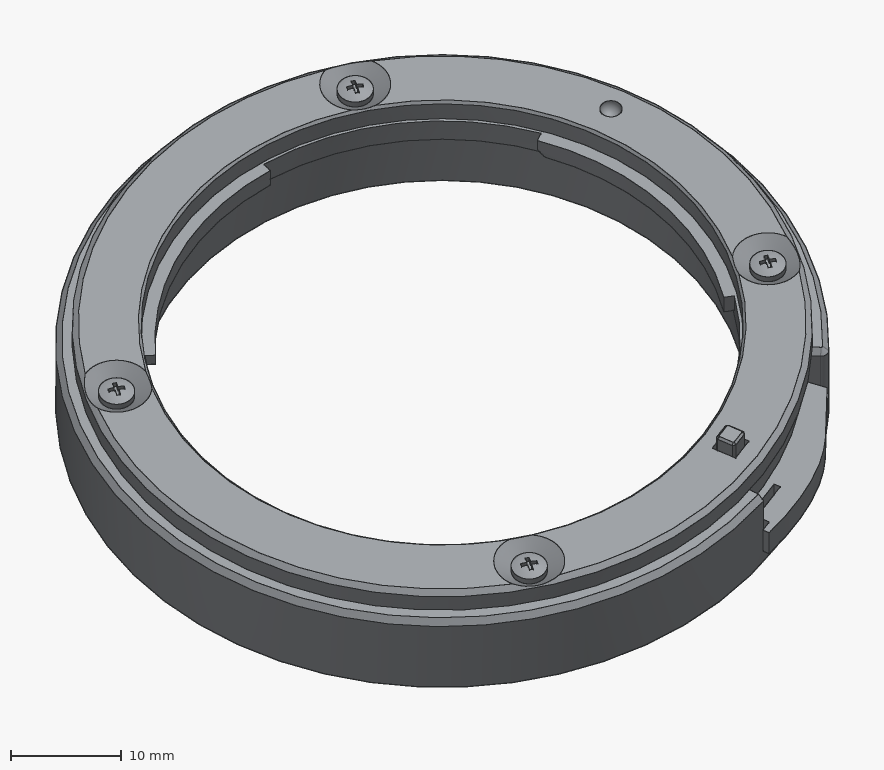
import cadquery as cq
import math

housing_diameter = 70.0
housing_height = 8.65
housing_chamfer = 0.6
housing_bore = 55.3
rim_end_radius = 0.7

flange_diameter = 67.0
flange_top = 10.85
flange_bore = 54.5
flange_bore_mouth = 55.0
flange_edge_height = 0.4
flange_edge_width = 0.6

bayonet_diameter = 57.1
bayonet_bore = 53.9
bayonet_height = 2.4
tab_tip_diameter = 52.0
tab_thickness = 1.9
tab_lead_in = 0.7
tab_spans = [(41.5, 100.7), (156.8, 214.4), (271.4, 332.6)]

pitch_radius = 30.5
screw_angles = [45, 135, 225, 315]
countersink_diameter = 6.4
countersink_depth = 1.3
screw_head_diameter = 3.3
screw_rim_drop = 0.65
screw_dome_rise = 0.35
screw_shank_diameter = 1.5
screw_shank_depth = 2.15
cross_length = 1.5
cross_width = 0.35
cross_depth = 0.6
cross_angle = 45

dimple_diameter = 2.0

pin_radius = 30.1
pin_width = 2.0
pin_hole_width = 2.4
pin_top = 12.3
pin_chamfer = 0.2

lever_bottom = 2.8
lever_top = 5.6
lever_reach = 36.4
lever_tail_y = -3.4
lever_tail_setback = 0.3
lever_tail_width = 0.65
window_inner_radius = 32.85
window_lower_y = -2.3
window_upper_angle = 27.4
lever_start_angle = 26.0
lever_start = (31.7, 14.7)
lever_hollow = (32.85, 12.6)
lever_flank = (35.3, 7.9)
lever_crest_y = 1.4
slot_start_y = 2.0
slot_width = 0.65
slot_depth = 1.4
slot_x = 33.85

housing_radius = housing_diameter / 2
bayonet_bottom = housing_height - bayonet_height
tab_root_diameter = (bayonet_diameter + bayonet_bore) / 2
tab_bottom = housing_height - tab_thickness
screw_rim_z = flange_top - screw_rim_drop
countersink_floor_z = flange_top - countersink_depth
screw_bottom_z = housing_height - screw_shank_depth
lever_thickness = lever_top - lever_bottom
window_lower_angle = math.degrees(math.asin(window_lower_y / housing_radius))


def ring(outer_diameter, inner_diameter, bottom, height):
    """Plain ring around the Z axis."""
    return (
        cq.Workplane("XY")
        .workplane(offset=bottom)
        .circle(outer_diameter / 2)
        .circle(inner_diameter / 2)
        .extrude(height)
    )


def cylinder(diameter, bottom, top):
    """Upright cylinder on the Z axis."""
    return cq.Workplane("XY").workplane(offset=bottom).circle(diameter / 2).extrude(top - bottom)


def polar(radius, angle):
    """Point at a radius and an angle in degrees."""
    return (radius * math.cos(math.radians(angle)), radius * math.sin(math.radians(angle)))


def square_post(width, top):
    """Square block at the lock pin, from the top of the housing up."""
    return (
        cq.Workplane("XY")
        .workplane(offset=housing_height)
        .center(pin_radius, 0)
        .rect(width, width)
        .extrude(top - housing_height)
    )


def at_screws(tool):
    """Copies of a shape made on the Z axis, one at each screw position."""
    return [tool.translate((*polar(pitch_radius, angle), 0)) for angle in screw_angles]


def sector(inner_radius, outer_radius, start, end, bottom, height):
    """Part of a ring between two angles."""
    middle = (start + end) / 2
    return (
        cq.Workplane("XY")
        .workplane(offset=bottom)
        .moveTo(*polar(inner_radius, start))
        .lineTo(*polar(outer_radius, start))
        .threePointArc(polar(outer_radius, middle), polar(outer_radius, end))
        .lineTo(*polar(inner_radius, end))
        .threePointArc(polar(inner_radius, middle), polar(inner_radius, start))
        .close()
        .extrude(height)
    )


def make_screw():
    """Domed cross-head screw on the Z axis."""
    head_radius = screw_head_diameter / 2
    shank_radius = screw_shank_diameter / 2
    dome_top_z = screw_rim_z + screw_dome_rise
    dome_radius = (head_radius**2 + screw_dome_rise**2) / (2 * screw_dome_rise)
    dome_middle_x = head_radius / 2
    dome_middle_z = dome_top_z - dome_radius + math.sqrt(dome_radius**2 - dome_middle_x**2)
    screw = (
        cq.Workplane("XZ")
        .moveTo(0, screw_bottom_z)
        .lineTo(shank_radius, screw_bottom_z)
        .lineTo(shank_radius, countersink_floor_z)
        .lineTo(head_radius, countersink_floor_z)
        .lineTo(head_radius, screw_rim_z)
        .threePointArc((dome_middle_x, dome_middle_z), (0, dome_top_z))
        .close()
        .revolve(360, (0, 0, 0), (0, 1, 0))
    )
    for length, width in ((cross_length, cross_width), (cross_width, cross_length)):
        arm = cq.Workplane("XY").workplane(offset=dome_top_z - cross_depth).rect(length, width)
        arm = arm.extrude(cross_depth).rotate((0, 0, 0), (0, 0, 1), cross_angle)
        screw = screw.cut(arm)
    return screw


def make_window():
    """Opening in the housing wall, from the lever floor up to the flange."""
    return sector(
        window_inner_radius,
        lever_reach,
        window_lower_angle,
        window_upper_angle,
        lever_bottom,
        housing_height - lever_bottom,
    )


def make_lever():
    """Release lever that bulges out of the housing and ends in a short hooked tail."""
    middle_angle = (window_lower_angle + lever_start_angle) / 2
    crest = (lever_reach, lever_crest_y)
    tail_outer_x = lever_reach - lever_tail_setback
    tail_inner_x = tail_outer_x - lever_tail_width
    lever = (
        cq.Workplane("XY")
        .workplane(offset=lever_bottom)
        .moveTo(*polar(window_inner_radius, lever_start_angle))
        .lineTo(*lever_start)
        .spline([lever_hollow, lever_flank, crest, (tail_outer_x, lever_tail_y)], includeCurrent=True)
        .lineTo(tail_inner_x, lever_tail_y)
        .lineTo(tail_inner_x, window_lower_y)
        .lineTo(*polar(window_inner_radius, window_lower_angle))
        .threePointArc(
            polar(window_inner_radius, middle_angle), polar(window_inner_radius, lever_start_angle)
        )
        .close()
        .extrude(lever_thickness)
    )
    slot = (
        cq.Workplane("XY")
        .workplane(offset=lever_top - slot_depth)
        .center(slot_x, (slot_start_y + lever_tail_y) / 2)
        .rect(slot_width, slot_start_y - lever_tail_y)
        .extrude(slot_depth)
    )
    return lever.cut(slot)


def make_bayonet():
    """Thin ring under the flange with three inward tabs."""
    bayonet = ring(bayonet_diameter, bayonet_bore, bayonet_bottom, bayonet_height)
    for start, end in tab_spans:
        tab = sector(
            tab_tip_diameter / 2, tab_root_diameter / 2, start, end, tab_bottom, tab_thickness
        )
        lead_in_edge = cq.selectors.NearestToPointSelector((*polar(bayonet_bore / 2, end), tab_bottom))
        tab = tab.edges(lead_in_edge).chamfer(tab_lead_in)
        bayonet = bayonet.union(tab)
    return bayonet


def make_housing():
    """Main ring, chamfered at the rim, with a seat for the bayonet ring, the lever window and screw holes."""
    housing = cylinder(housing_diameter, 0, housing_height).cut(make_window())
    rim_end = (*polar(housing_radius, window_upper_angle), (lever_bottom + housing_height) / 2)
    housing = housing.edges(cq.selectors.NearestToPointSelector(rim_end)).fillet(rim_end_radius)
    rim_point = (-housing_radius, 0, housing_height)
    housing = housing.edges(cq.selectors.NearestToPointSelector(rim_point)).chamfer(housing_chamfer)
    housing = housing.cut(cylinder(housing_bore, 0, housing_height))
    housing = housing.cut(cylinder(bayonet_diameter, bayonet_bottom, housing_height))
    for hole in at_screws(cylinder(screw_shank_diameter, screw_bottom_z, housing_height)):
        housing = housing.cut(hole)
    return housing


def make_flange():
    """Mounting flange with countersinks, a locating dimple and the pin hole."""
    flange = cylinder(flange_diameter, housing_height, flange_top)
    flange = flange.faces(">Z").edges().chamfer(flange_edge_height, flange_edge_width)
    flange = flange.cut(cylinder(flange_bore, housing_height, flange_top))
    bore_chamfer = (flange_bore_mouth - flange_bore) / 2
    bore_edge = cq.selectors.RadiusNthSelector(0)
    flange = flange.faces(">Z").edges(bore_edge).chamfer(bore_chamfer)

    countersink = (
        cq.Workplane("XY")
        .workplane(offset=countersink_floor_z)
        .circle(screw_head_diameter / 2)
        .workplane(offset=countersink_depth)
        .circle(countersink_diameter / 2)
        .loft()
    )
    screw_opening = countersink.union(cylinder(screw_shank_diameter, housing_height, flange_top))
    for opening in at_screws(screw_opening):
        flange = flange.cut(opening)

    dimple = cq.Workplane("XY").sphere(dimple_diameter / 2)
    flange = flange.cut(dimple.translate((0, pitch_radius, flange_top)))

    pin_hole = square_post(pin_hole_width, flange_top)
    return flange.cut(pin_hole)


def make_pin():
    """Square lock pin standing in the flange."""
    pin = square_post(pin_width, pin_top)
    pin = pin.edges("|Z").chamfer(pin_chamfer)
    return pin.faces(">Z").edges().chamfer(pin_chamfer)


housing = make_housing()
flange = make_flange()
bayonet = make_bayonet()
lever = make_lever()
pin = make_pin()
screws = [screw.val() for screw in at_screws(make_screw())]

result = cq.Compound.makeCompound(
    [housing.val(), flange.val(), bayonet.val(), lever.val(), pin.val(), *screws]
)